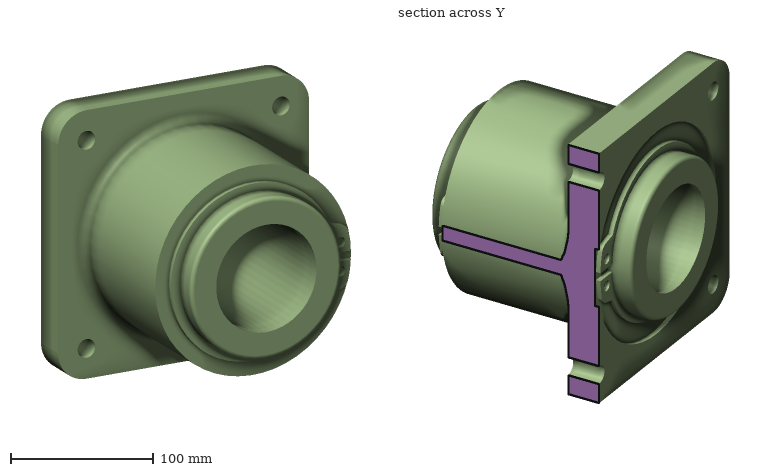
import cadquery as cq
import math

total_length = 165.0
flange_start = 16.0
flange_thickness = 25.5
body_end = 145.2
ring_thickness = 3.5

flange_side = 200.0
bolt_pitch = 155.0
bolt_hole_diameter = 14.0
corner_radius = (flange_side - bolt_pitch) / 2
recess_radius = 81.0

body_radius = 78.0
body_fillet = 6.5
sleeve_radius = 60.0
sleeve_edge_fillet = 3.0
bore_radius = 40.0

ring_radius = 66.0
ring_offset = 1.5
lug_tip_radius = 76.0
lug_half_gap = 3.2
lug_root_z = 26.0
lug_shoulder_z = 22.8
lug_fillet = 7.0
lug_hole_y = 67.5
lug_hole_z = 10.8
lug_hole_diameter = 8.0


def cylinder(start, end, radius):
    """Cylinder on the X axis between two stations."""
    return cq.Workplane("YZ", origin=(start, 0, 0)).circle(radius).extrude(end - start)


def on_circle(radius, z):
    """Point (y, z) on the +Y half of a circle about the part axis."""
    return (math.sqrt(radius**2 - z**2), z)


def make_housing():
    """Square flange blended into the round body, with bolt holes and a ring recess."""
    flange_end = flange_start + flange_thickness
    flange = (
        cq.Workplane("YZ", origin=(flange_start, 0, 0))
        .rect(flange_side, flange_side)
        .extrude(flange_thickness)
        .edges("|X")
        .fillet(corner_radius)
    )
    housing = flange.union(cylinder(flange_end, body_end, body_radius))
    body_root = cq.selectors.NearestToPointSelector((flange_end, 0, 0))
    housing = housing.edges("%CIRCLE").edges(body_root).fillet(body_fillet)
    bolt_holes = (
        cq.Workplane("YZ", origin=(flange_start, 0, 0))
        .rect(bolt_pitch, bolt_pitch, forConstruction=True)
        .vertices()
        .circle(bolt_hole_diameter / 2)
        .extrude(flange_thickness)
    )
    recess = cylinder(flange_start, flange_start + ring_thickness, recess_radius)
    return housing.cut(bolt_holes).cut(recess)


def make_sleeve():
    """Inner sleeve with rounded outer rims."""
    return cylinder(0, total_length, sleeve_radius).edges().fillet(sleeve_edge_fillet)


def make_retaining_ring(start):
    """External retaining ring with two drilled lugs either side of its gap."""
    plane = cq.Workplane("YZ", origin=(start, 0, 0))
    rim_y, rim_z = on_circle(ring_radius, lug_root_z)
    root = (rim_y - ring_offset, rim_z)
    shoulder = on_circle(lug_tip_radius, lug_shoulder_z)
    tip_middle = on_circle(lug_tip_radius, (lug_shoulder_z + lug_half_gap) / 2)
    tip = on_circle(lug_tip_radius, lug_half_gap)
    lug = (
        plane.moveTo(0, lug_half_gap)
        .lineTo(*tip)
        .threePointArc(tip_middle, shoulder)
        .lineTo(*root)
        .lineTo(0, lug_root_z)
        .close()
        .extrude(ring_thickness)
    )
    shoulder_edge = cq.selectors.NearestToPointSelector((start + ring_thickness / 2, *shoulder))
    lug = lug.edges("|X").edges(shoulder_edge).fillet(lug_fillet)
    ring = plane.center(-ring_offset, 0).circle(ring_radius).extrude(ring_thickness)
    gap = plane.center(lug_tip_radius / 2, 0).rect(lug_tip_radius, 2 * lug_half_gap).extrude(ring_thickness)
    lug_holes = (
        plane.pushPoints([(lug_hole_y, lug_hole_z), (lug_hole_y, -lug_hole_z)])
        .circle(lug_hole_diameter / 2)
        .extrude(ring_thickness)
    )
    return ring.union(lug).union(lug.mirror("XY")).cut(gap).cut(lug_holes)


result = make_housing().union(make_sleeve())
for ring_start in (flange_start, body_end):
    result = result.union(make_retaining_ring(ring_start))
result = result.cut(cylinder(0, total_length, bore_radius))